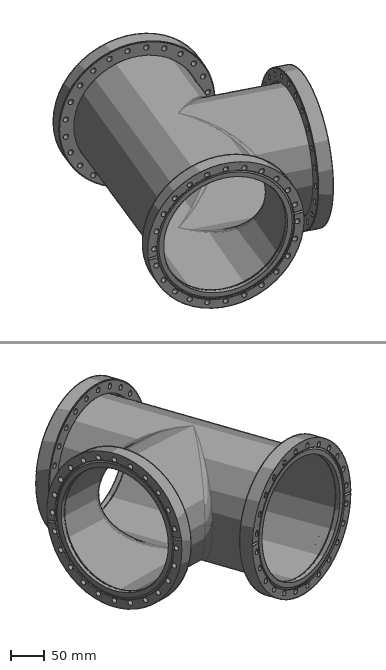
import cadquery as cq

RUN_LENGTH = 406.0
FACE_REACH = RUN_LENGTH / 2

TUBE_OUTER_RADIUS = 204.0 / 2
TUBE_BORE_RADIUS = 200.0 / 2
CROTCH_FILLET = 8.0
TUBE_END_DEPTH = 10.0
TUBE_REACH = FACE_REACH - TUBE_END_DEPTH

FLANGE_RADIUS = 253.0 / 2
FLANGE_THICKNESS = 25.0
FLANGE_BORE_RADIUS = 200.5 / 2
SOCKET_RADIUS = 204.5 / 2
REAR_CHAMFER = 1.2

SEAT_RADIUS = 222.5 / 2
KNIFE_RADIUS = 216.0 / 2
KNIFE_DEPTH = 1.2
SEAT_DEPTH = 3.0

COLLAR_RADIUS = 222.0 / 2
RING_FRONT_RADIUS = 223.0 / 2
RING_BORE_RADIUS = 210.0 / 2
SHOULDER_DEPTH = 16.2

BOLT_COUNT = 24
BOLT_PITCH = 360 / BOLT_COUNT
BOLT_CIRCLE_RADIUS = 232.0 / 2
BOLT_HOLE_RADIUS = 8.5 / 2
GROOVE_WIDTH = 4.0
GROOVE_DEPTH = 1.0



def rounded_crossing(radius, fillet):
    """Solid run and branch cylinders of one radius, filleted along the two crotch seams."""
    run = cq.Workplane("YZ").circle(radius).extrude(TUBE_REACH, both=True)
    branch = cq.Workplane("XZ").circle(radius).extrude(-TUBE_REACH)
    body = run.union(branch)
    seams = [edge for edge in body.edges().vals() if edge.geomType() == "ELLIPSE"]
    return body.newObject(seams).fillet(fillet)


def make_tee():
    outside = rounded_crossing(TUBE_OUTER_RADIUS, CROTCH_FILLET)
    inside = rounded_crossing(TUBE_BORE_RADIUS, CROTCH_FILLET)
    return outside.cut(inside)



RIM = [
    (FLANGE_RADIUS, 0),
    (FLANGE_RADIUS, FLANGE_THICKNESS - REAR_CHAMFER),
    (FLANGE_RADIUS - REAR_CHAMFER, FLANGE_THICKNESS),
]
TUBE_SOCKET = [
    (SOCKET_RADIUS, TUBE_END_DEPTH),
    (FLANGE_BORE_RADIUS, TUBE_END_DEPTH),
]
KNIFE_EDGE = [
    (FLANGE_BORE_RADIUS, KNIFE_DEPTH),
    (KNIFE_RADIUS, KNIFE_DEPTH),
]


def revolve_section(points):
    """Revolve (radius, depth below the face) points about the flange axis."""
    outline = [(radius, -depth) for radius, depth in points]
    return cq.Workplane("XZ").polyline(outline).close().revolve(360, (0, 0), (0, 1))


def cut_bolt_holes(blank):
    holes = (
        cq.Workplane("XY")
        .polarArray(BOLT_CIRCLE_RADIUS, BOLT_PITCH / 2, 360, BOLT_COUNT)
        .circle(BOLT_HOLE_RADIUS)
        .extrude(-FLANGE_THICKNESS)
    )
    return blank.cut(holes)


def cut_leak_grooves(blank):
    """Two opposite shallow grooves across the face, from the gasket recess to the rim."""
    across = (
        cq.Workplane("YZ")
        .moveTo(-GROOVE_WIDTH / 2, 0)
        .threePointArc((0, -GROOVE_DEPTH), (GROOVE_WIDTH / 2, 0))
        .close()
        .extrude(FLANGE_RADIUS, both=True)
    )
    recess = cq.Workplane("XY").circle(SEAT_RADIUS).extrude(-FLANGE_THICKNESS)
    return blank.cut(across.cut(recess))


def make_fixed_flange():
    section = (
        RIM
        + [(SOCKET_RADIUS, FLANGE_THICKNESS)]
        + TUBE_SOCKET
        + KNIFE_EDGE
        + [(SEAT_RADIUS, SEAT_DEPTH), (SEAT_RADIUS, 0)]
    )
    return cut_leak_grooves(cut_bolt_holes(revolve_section(section)))


def make_ring():
    section = RIM + [
        (RING_BORE_RADIUS, FLANGE_THICKNESS),
        (RING_BORE_RADIUS, SHOULDER_DEPTH),
        (RING_FRONT_RADIUS, SHOULDER_DEPTH),
        (RING_FRONT_RADIUS, 0),
    ]
    ring = cut_leak_grooves(cut_bolt_holes(revolve_section(section)))
    return ring.rotate((0, 0, 0), (0, 0, 1), BOLT_PITCH / 2)


def make_collar():
    section = (
        KNIFE_EDGE
        + [
            (COLLAR_RADIUS, SEAT_DEPTH),
            (COLLAR_RADIUS, SHOULDER_DEPTH),
            (SOCKET_RADIUS, SHOULDER_DEPTH),
        ]
        + TUBE_SOCKET
    )
    return revolve_section(section)



def place_on_port(body, direction):
    """Move a flange part to the port facing the given direction in degrees from +X about Z."""
    facing_x = body.rotate((0, 0, 0), (0, 0, 1), 90).rotate((0, 0, 0), (0, 1, 0), 90)
    return facing_x.translate((FACE_REACH, 0, 0)).rotate((0, 0, 0), (0, 0, 1), direction)


FIXED_PORT = 180
ROTATABLE_PORTS = [0, 90]

tee = make_tee()
fixed_flange = place_on_port(make_fixed_flange(), FIXED_PORT)
rings = [place_on_port(make_ring(), port) for port in ROTATABLE_PORTS]
collars = [place_on_port(make_collar(), port) for port in ROTATABLE_PORTS]

result = cq.Compound.makeCompound([body.val() for body in [tee, fixed_flange, *rings, *collars]])